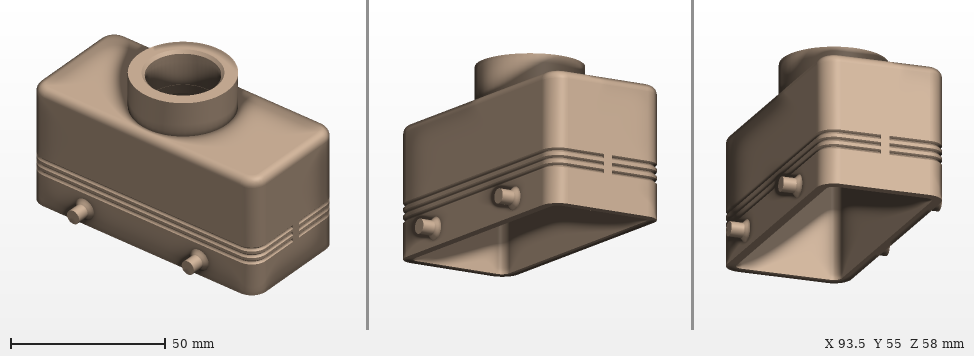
import cadquery as cq

housing_length = 93.5
housing_width = 43.1
housing_height = 45.0
corner_radius = 6.0
top_edge_radius = 3.0

wall = 3.3
cavity_length = housing_length - 2 * wall
cavity_width = housing_width - 2 * wall
cavity_height = housing_height - wall
cavity_corner_radius = corner_radius - wall

overall_height = 58.0
collar_radius = 17.95
entry_radius = 12.4
roof_hole_radius = 12.25
entry_chamfer = 1.0

overall_width = 55.0
pin_radius = 2.5
pin_spacing = 47.5
pin_height = 5.9
pin_base_height = 1.4
pin_base_radius = pin_radius + pin_base_height
pin_root = wall / 2

groove_count = 3
groove_pitch = 2.5
lowest_groove_height = 12.8
groove_opening = 1.5
groove_floor = 0.2
groove_depth = 0.75
groove_gap = 3.0


def rounded_block(length, width, height, radius):
    """Block standing on z = 0 with rounded vertical edges."""
    return (
        cq.Workplane("XY")
        .box(length, width, height, centered=(True, True, False))
        .edges("|Z")
        .fillet(radius)
    )


def make_hood():
    """Outer hood with its rounded roof edge, hollowed from below."""
    outside = rounded_block(housing_length, housing_width, housing_height, corner_radius)
    outside = outside.faces(">Z").edges().fillet(top_edge_radius)
    cavity = rounded_block(cavity_length, cavity_width, cavity_height, cavity_corner_radius)
    return outside.cut(cavity)


def make_collar():
    """Solid collar that rises from the underside of the roof."""
    return (
        cq.Workplane("XY")
        .workplane(offset=cavity_height)
        .circle(collar_radius)
        .extrude(overall_height - cavity_height)
    )


def make_entry_bore():
    """Chamfered bore through the collar, slightly narrower through the roof."""
    profile = [
        (0, cavity_height),
        (roof_hole_radius, cavity_height),
        (roof_hole_radius, housing_height),
        (entry_radius, housing_height),
        (entry_radius, overall_height - entry_chamfer),
        (entry_radius + entry_chamfer, overall_height),
        (0, overall_height),
    ]
    return cq.Workplane("XZ").polyline(profile).close().revolve(360, (0, 0), (0, 1))


def make_pin(x):
    """Pin with a conical base on the +Y side; its axis runs along Y."""
    side = housing_width / 2
    profile = [
        (0, side - pin_root),
        (pin_base_radius, side - pin_root),
        (pin_base_radius, side),
        (pin_radius, side + pin_base_height),
        (pin_radius, overall_width / 2),
        (0, overall_width / 2),
    ]
    pin = cq.Workplane("XY").polyline(profile).close().revolve(360, (0, 0), (0, 1))
    return pin.translate((x, 0, pin_height))


def make_groove(z):
    """Trapezoidal groove cutter around the +Y half of the hood, from end gap to end gap."""
    end = housing_length / 2
    side = housing_width / 2
    start = groove_gap / 2
    path = (
        cq.Workplane("XY")
        .workplane(offset=z)
        .moveTo(-end, start)
        .lineTo(-end, side - corner_radius)
        .radiusArc((-end + corner_radius, side), corner_radius)
        .lineTo(end - corner_radius, side)
        .radiusArc((end, side - corner_radius), corner_radius)
        .lineTo(end, start)
    )
    section = [
        (-end, z - groove_opening / 2),
        (-end, z + groove_opening / 2),
        (-end + groove_depth, z + groove_floor / 2),
        (-end + groove_depth, z - groove_floor / 2),
    ]
    return cq.Workplane("XZ", origin=(0, start, 0)).polyline(section).close().sweep(path)


result = make_hood().union(make_collar()).cut(make_entry_bore())

for x in (-pin_spacing / 2, pin_spacing / 2):
    pin = make_pin(x)
    result = result.union(pin).union(pin.mirror("XZ"))

for index in range(groove_count):
    groove = make_groove(lowest_groove_height + index * groove_pitch)
    result = result.cut(groove).cut(groove.mirror("XZ"))